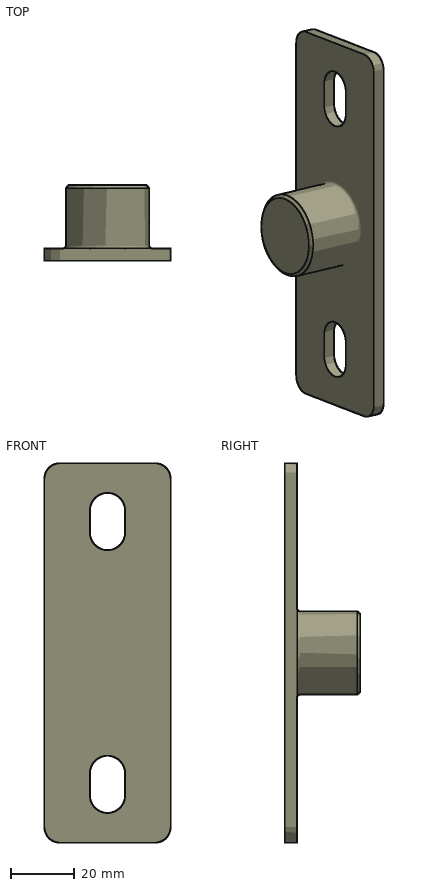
import cadquery as cq

plate_height = 120.0
plate_width = plate_height / 3
plate_thickness = 4.0
corner_radius = 5.0

slot_width = 11.0
slot_length = 18.0
slot_spacing = 83.0

overall_depth = 24.0
boss_diameter = 26.4
boss_chamfer = 1.0

root_fillet = 1.0


def make_plate():
    plate = cq.Workplane("XY").box(
        plate_width, plate_thickness, plate_height, centered=(True, False, True)
    )
    return plate.edges("|Y").fillet(corner_radius)


def make_slots():
    return (
        cq.Workplane("XZ")
        .pushPoints([(0, -slot_spacing / 2), (0, slot_spacing / 2)])
        .slot2D(slot_length, slot_width, angle=90)
        .extrude(-plate_thickness)
    )


def make_boss():
    """Revolve the boss profile, drawn as (radius, Y), about the Y axis."""
    radius = boss_diameter / 2
    return (
        cq.Workplane("XY")
        .moveTo(0, plate_thickness)
        .lineTo(radius + root_fillet, plate_thickness)
        .radiusArc((radius, plate_thickness + root_fillet), root_fillet)
        .lineTo(radius, overall_depth - boss_chamfer)
        .lineTo(radius - boss_chamfer, overall_depth)
        .lineTo(0, overall_depth)
        .close()
        .revolve(360, (0, 0, 0), (0, 1, 0))
    )


result = make_plate().cut(make_slots()).union(make_boss())